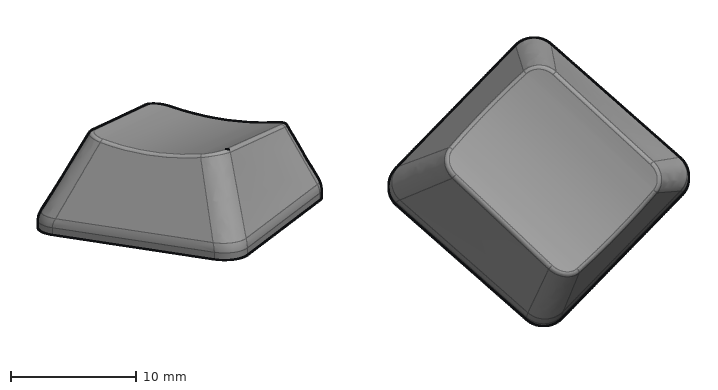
import cadquery as cq
import math

BASE_SIDE = 18.16
BASE_CORNER_RADIUS = 2.0
BEND_HEIGHT = 0.98
BEND_REACH = 0.36
BEND_SECTIONS = 5

TILT = 7.5
CROWN_HALF_WIDTH = 5.85
CROWN_FRONT_Y = -5.27
CROWN_BACK_Y = 8.55
CROWN_FRONT_HEIGHT = 7.99
CROWN_CORNER_RADIUS = 1.82

DISH_RADIUS = 23.97
DISH_FRONT_DEPTH = 1.07
DISH_HALF_LENGTH = 2 * BASE_SIDE
RIM_RADIUS = 0.36

HALF_SIDE = BASE_SIDE / 2
FALL_PER_LENGTH = math.tan(math.radians(TILT))
CROWN_BACK_HEIGHT = CROWN_FRONT_HEIGHT - FALL_PER_LENGTH * (CROWN_BACK_Y - CROWN_FRONT_Y)
CROWN_MID_HEIGHT = (CROWN_FRONT_HEIGHT + CROWN_BACK_HEIGHT) / 2

SIDE_LEAN = (HALF_SIDE - CROWN_HALF_WIDTH) / (CROWN_MID_HEIGHT - BEND_HEIGHT)
FRONT_LEAN = (HALF_SIDE + CROWN_FRONT_Y) / (CROWN_FRONT_HEIGHT - BEND_HEIGHT)
BACK_LEAN = (HALF_SIDE - CROWN_BACK_Y) / (CROWN_BACK_HEIGHT - BEND_HEIGHT)


def rounded_outline(half_width, depth, corner_radius, location):
    """Rounded rectangle centred on the given location."""
    sketch = cq.Sketch().rect(2 * half_width, depth).vertices().fillet(corner_radius)
    return sketch.moved(location)


def bend_outline(rise):
    """Horizontal outline at a rise above the start of the bend; the walls follow parabolas."""
    spread = rise**2 / (4 * BEND_REACH)
    front_y = -HALF_SIDE + FRONT_LEAN * spread
    back_y = HALF_SIDE - BACK_LEAN * spread
    centre = cq.Vector(0, (front_y + back_y) / 2, BEND_HEIGHT - BEND_REACH + rise)
    half_width = HALF_SIDE - SIDE_LEAN * spread
    return rounded_outline(half_width, back_y - front_y, BASE_CORNER_RADIUS, cq.Location(centre))


def crown_outline():
    """Tilted outline at the top of the leaning walls."""
    centre = cq.Vector(0, (CROWN_FRONT_Y + CROWN_BACK_Y) / 2, CROWN_MID_HEIGHT)
    location = cq.Location(centre, cq.Vector(1, 0, 0), -TILT)
    depth = (CROWN_BACK_Y - CROWN_FRONT_Y) / math.cos(math.radians(TILT))
    return rounded_outline(CROWN_HALF_WIDTH, depth, CROWN_CORNER_RADIUS, location)


def make_blank():
    """Vertical skirt, rounded bend and leaning walls."""
    rises = [2 * BEND_REACH * i / (BEND_SECTIONS - 1) for i in range(BEND_SECTIONS)]
    bend_outlines = [bend_outline(rise) for rise in rises]
    skirt = cq.Workplane().placeSketch(bend_outlines[0]).extrude(BEND_REACH - BEND_HEIGHT)
    bend = cq.Workplane().placeSketch(*bend_outlines).loft()
    walls = cq.Workplane().placeSketch(bend_outlines[-1], crown_outline()).loft(ruled=True)
    return skirt.union(bend).union(walls)


def make_dish_cutter():
    """Large cylinder that hollows the top across X."""
    tilt = math.radians(TILT)
    axis = cq.Vector(0, math.cos(tilt), -math.sin(tilt))
    up = cq.Vector(0, math.sin(tilt), math.cos(tilt))
    lowest_point = cq.Vector(0, CROWN_FRONT_Y, CROWN_FRONT_HEIGHT - DISH_FRONT_DEPTH)
    start = lowest_point + up * DISH_RADIUS - axis * DISH_HALF_LENGTH
    return cq.Workplane(cq.Solid.makeCylinder(DISH_RADIUS, 2 * DISH_HALF_LENGTH, start, axis))


def round_rim(keycap):
    """Round the edge between the dished top and the walls."""
    top_face = cq.selectors.NearestToPointSelector((0, 0, CROWN_MID_HEIGHT))
    return keycap.faces(top_face).edges().fillet(RIM_RADIUS)


dished = make_blank().cut(make_dish_cutter())
result = round_rim(dished)